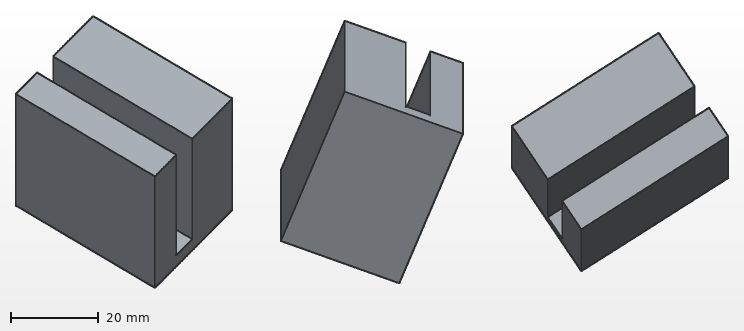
import cadquery as cq

width = 40.0
height = 40.0

front_wall = 8.0
slot_width = 6.0
back_wall = 15.0
depth = front_wall + slot_width + back_wall

floor_thickness = 4.0


def make_block():
    """Solid block with its front lower left corner at the origin."""
    return cq.Workplane("XY").box(width, depth, height, centered=False)


def make_slot():
    """Cutter for the slot that is open at the top and at both X ends."""
    return (
        cq.Workplane("XY")
        .box(width, slot_width, height - floor_thickness, centered=False)
        .translate((0, front_wall, floor_thickness))
    )


result = make_block().cut(make_slot())